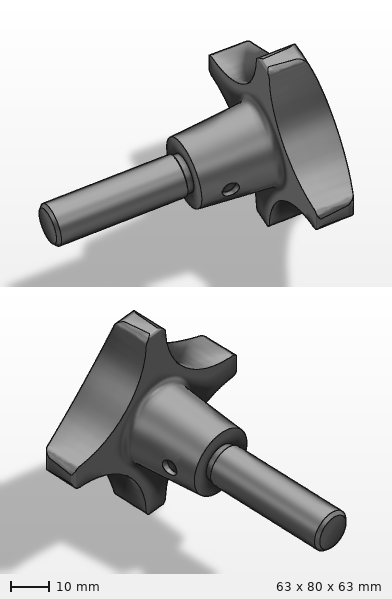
import cadquery as cq
import math


total_length = 80.0
crown_height = 17.0
hub_length = 23.0
neck_length = 2.0

arm_count = 4
span = 63.0
arm_reach = span / 2
dome_edge_radius = 28.6
dome_edge_height = 11.8
scallop_radius = 26.5
scallop_offset = 30.2

tip_wall_bottom = 1.0
tip_wall_top = 8.9
tip_draft = 0.4
tip_flat_bottom = 3.0
tip_flat_top = 4.4

hub_root_radius = 11.8
hub_end_radius = 10.1
root_round = 1.9

stud_diameter = 12.0
neck_diameter = 11.0
stud_end_diameter = 10.1
stud_chamfer = (stud_diameter - stud_end_diameter) / 2

recess_mouth_diameter = 5.0
recess_floor_diameter = 4.5
recess_drop = 14.9
recess_floor_reach = 9.1

dome_drop = crown_height - dome_edge_height
dome_radius = (dome_edge_radius**2 + dome_drop**2) / (2 * dome_drop)


def dome_height(radius):
    """Height of the spherical crown at a distance from the axis."""
    return crown_height - dome_radius + math.sqrt(dome_radius**2 - radius**2)


def make_dome():
    rim_clearance = 2.4
    rim = arm_reach + rim_clearance
    return (
        cq.Workplane("XZ")
        .lineTo(rim, 0)
        .lineTo(rim, dome_height(rim))
        .threePointArc((rim / 2, dome_height(rim / 2)), (0, crown_height))
        .close()
        .revolve(360, (0, 0, 0), (0, 1, 0))
    )


def make_scallops():
    side = 2 * scallop_offset
    centres = cq.Workplane("XY").rect(side, side, forConstruction=True).vertices()
    return centres.circle(scallop_radius).extrude(crown_height)


def tip_section(height, reach, flat_width):
    """Arm end outline: a straight root, two rounded corners and a flat end."""
    scallop_rise = math.sqrt(scallop_radius**2 - (scallop_offset - dome_edge_radius) ** 2)
    root_half = scallop_offset - scallop_rise
    flat_half = flat_width / 2
    mid_x = dome_edge_radius + (reach - dome_edge_radius) * math.sqrt(0.5)
    mid_y = flat_half + (root_half - flat_half) * math.sqrt(0.5)
    return (
        cq.Workplane("XY", origin=(0, 0, height))
        .moveTo(dome_edge_radius, -root_half)
        .threePointArc((mid_x, -mid_y), (reach, -flat_half))
        .lineTo(reach, flat_half)
        .threePointArc((mid_x, mid_y), (dome_edge_radius, root_half))
        .close()
        .wires()
        .val()
    )


def make_tip():
    """Drafted end of the arm along +X, rounded over at the top and bottom."""
    reach_slope = tip_draft / (tip_wall_top - tip_wall_bottom)
    flat_slope = (tip_flat_top - tip_flat_bottom) / (tip_wall_top - tip_wall_bottom)

    def section_at(height):
        rise = height - tip_wall_bottom
        return tip_section(height, arm_reach - reach_slope * rise, tip_flat_bottom + flat_slope * rise)

    block = cq.Workplane(cq.Solid.makeLoft([section_at(0), section_at(dome_edge_height)], True))
    side_profile = (
        cq.Workplane("XZ")
        .lineTo(arm_reach - tip_wall_bottom, 0)
        .tangentArcPoint((arm_reach, tip_wall_bottom), relative=False)
        .lineTo(arm_reach - tip_draft, tip_wall_top)
        .tangentArcPoint((dome_edge_radius, dome_edge_height), relative=False)
        .lineTo(0, dome_edge_height)
        .close()
        .extrude(dome_edge_radius, both=True)
    )
    return block.intersect(side_profile)


def make_head():
    side = 2 * dome_edge_radius
    block = cq.Workplane("XY").box(side, side, crown_height, centered=(True, True, False))
    head = block.cut(make_scallops())
    tip = make_tip()
    for arm in range(arm_count):
        head = head.union(tip.rotate((0, 0, 0), (0, 0, 1), 360 / arm_count * arm))
    return head.intersect(make_dome())


def make_hub_and_stud():
    neck_end = -hub_length - neck_length
    stud_end = crown_height - total_length
    overlap = 0.8
    root_outer = hub_root_radius + root_round
    round_mid = root_round * (1 - math.sqrt(0.5))
    return (
        cq.Workplane("XZ")
        .moveTo(0, overlap)
        .lineTo(root_outer, overlap)
        .lineTo(root_outer, 0)
        .threePointArc((hub_root_radius + round_mid, -round_mid), (hub_root_radius, -root_round))
        .lineTo(hub_end_radius, -hub_length)
        .lineTo(neck_diameter / 2, -hub_length)
        .lineTo(neck_diameter / 2, neck_end)
        .lineTo(stud_diameter / 2, neck_end)
        .lineTo(stud_diameter / 2, stud_end + stud_chamfer)
        .lineTo(stud_end_diameter / 2, stud_end)
        .lineTo(0, stud_end)
        .close()
        .revolve(360, (0, 0, 0), (0, 1, 0))
    )


def make_side_recesses():
    """Cones running from the recess floors out past the hub surface."""
    depth = hub_root_radius - recess_floor_reach
    floor = cq.Vector(recess_floor_reach, 0, -recess_drop)
    cone = cq.Solid.makeCone(
        recess_floor_diameter / 2, recess_mouth_diameter / 2, depth, floor, cq.Vector(1, 0, 0)
    )
    recess = cq.Workplane(cone)
    return recess.union(recess.mirror("YZ"))


knob = make_head().union(make_hub_and_stud()).cut(make_side_recesses())
result = knob.rotate((0, 0, 0), (1, 0, 0), -90)